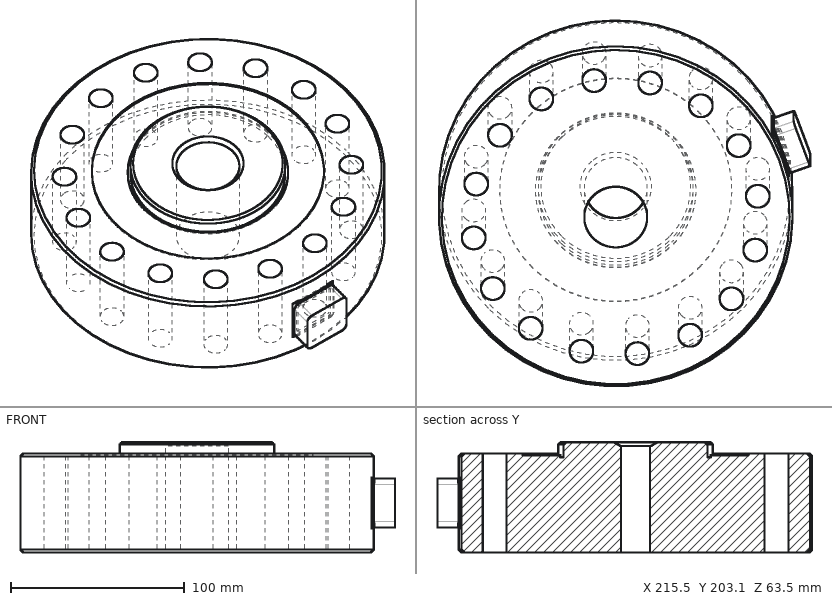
import cadquery as cq

body_diameter = 203.1
body_height = 57.0
body_chamfer = 1.7

recess_diameter = 133.3
recess_depth = 1.0
groove_diameter = 92.2
groove_depth = 1.0

overall_height = 63.5
boss_diameter = 89.0
boss_chamfer = 1.5
bore_diameter = 36.2
bore_chamfer = 2.4

hole_count = 16
hole_diameter = 13.5
bolt_circle_diameter = 165.0

connector_z = body_height / 2
seat_width = 29.0
seat_x = 100.4
neck_width = 23.3
neck_corner_radius = 1.5
flange_width = 28.2
flange_thickness = 12.0
flange_corner_radius = 3.5
overall_length = 215.5
flange_outer_x = overall_length - body_diameter / 2
flange_inner_x = flange_outer_x - flange_thickness


def vertical_cylinder(diameter, bottom, top):
    return cq.Workplane("XY").workplane(offset=bottom).circle(diameter / 2).extrude(top - bottom)


def make_body():
    body = vertical_cylinder(body_diameter, 0, body_height).edges().chamfer(body_chamfer)
    recess_floor = body_height - recess_depth
    groove_floor = recess_floor - groove_depth
    body = body.cut(vertical_cylinder(recess_diameter, recess_floor, body_height))
    return body.cut(vertical_cylinder(groove_diameter, groove_floor, recess_floor))


def make_boss():
    boss = vertical_cylinder(boss_diameter, body_height / 2, overall_height)
    return boss.faces(">Z").edges().chamfer(boss_chamfer)


def cut_bore(part):
    part = part.cut(vertical_cylinder(bore_diameter, 0, overall_height))
    rim = part.faces(">Z").edges(cq.selectors.RadiusNthSelector(0))
    return rim.chamfer(bore_chamfer)


def cut_mounting_holes(part):
    holes = (
        cq.Workplane("XY")
        .polarArray(bolt_circle_diameter / 2, 180 / hole_count, 360, hole_count)
        .circle(hole_diameter / 2)
        .extrude(body_height)
    )
    return part.cut(holes)


def square_bar(width, inner_x, outer_x):
    """Square bar along X on the connector axis."""
    plane = cq.Workplane("YZ", origin=(inner_x, 0, connector_z))
    return plane.rect(width, width).extrude(outer_x - inner_x)


def add_connector(part):
    seat = square_bar(seat_width, seat_x, body_diameter / 2)
    neck = square_bar(neck_width, seat_x, flange_inner_x)
    neck = neck.edges("|X").fillet(neck_corner_radius)
    flange = square_bar(flange_width, flange_inner_x, flange_outer_x)
    flange = flange.edges("|X").fillet(flange_corner_radius)
    return part.cut(seat).union(neck).union(flange)


result = make_body().union(make_boss())
result = cut_bore(result)
result = cut_mounting_holes(result)
result = add_connector(result)